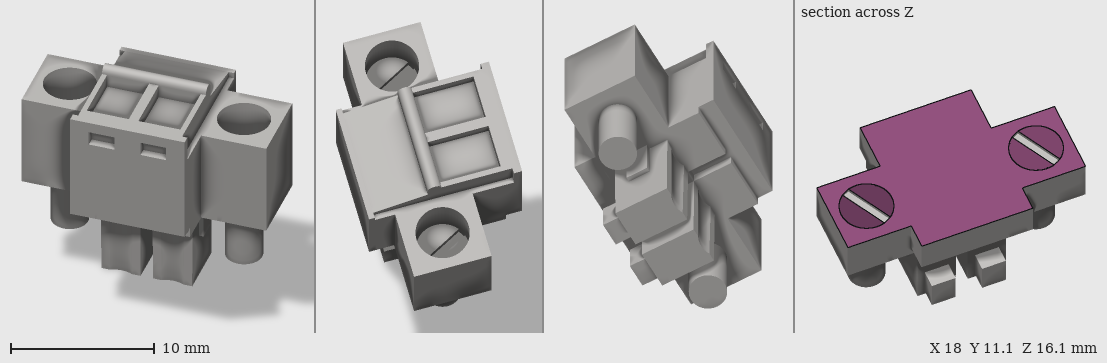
import cadquery as cq

OVERLAP = 0.18

pole_count = 2
pole_pitch = 3.8
pole_xs = [(i - (pole_count - 1) / 2) * pole_pitch for i in range(pole_count)]

body_width = 8.43
body_front = -6.4
body_back = 4.7
base_front = -5.22
base_height = 0.83
ledge_z = 7.1
lid_width = 7.65
front_wall = 0.6
back_wall = 0.41
back_wall_top = 7.55

ridge_top = 9.51
ridge_width = 0.99
ridge_y = -0.16
ridge_radius = ridge_width / 2
lid_top = ridge_top - ridge_radius
slope_top = 8.27

pocket_width = 3.1
pocket_front = -5.06
pocket_back = ridge_y - ridge_radius
pocket_depth = 1.0
window_width = 1.9
window_bottom = 7.15
window_top = 8.21
window_depth = 0.63

total_width = 18.01
flange_depth = 5.62
base_back = flange_depth / 2

finger_top_width = 2.95
finger_tip_width = 2.88
finger_back = 1.93
finger_top_front = -2.25
finger_tip_front = -2.2
finger_length = 6.6
groove_radius = 1.71
groove_depth = 0.25
slot_width = pole_pitch - finger_top_width
rib_x = 3.71
rib_depth = 1.65
rib_length = 3.15
key_width = 1.8
key_back = 3.2
key_top = -4.07
key_bottom = -6.32

screw_x = 6.41
shank_diameter = 2.68
shank_end = -4.5
head_diameter = 3.78
head_bottom = 1.8
head_top = 3.6
drive_width = 0.63
drive_depth = 0.54
drive_angle = -62.0


def block(x0, x1, y0, y1, z0, z1):
    """Box between two opposite corners."""
    return cq.Workplane("XY").box(x1 - x0, y1 - y0, z1 - z0, centered=False).translate((x0, y0, z0))


def cylinder(diameter, z0, z1):
    """Upright cylinder on the Z axis."""
    return cq.Workplane("XY", origin=(0, 0, z0)).circle(diameter / 2).extrude(z1 - z0)


def side_prism(outline, width):
    """Closed outline in the YZ plane, extruded evenly to both sides of X = 0."""
    return outline.close().extrude(width / 2, both=True)


def make_shell():
    """Main block with its raised front and back walls."""
    outline = (
        cq.Workplane("YZ")
        .moveTo(base_front, 0)
        .lineTo(base_back, 0)
        .lineTo(base_back, base_height)
        .lineTo(body_back, base_height)
        .lineTo(body_back, back_wall_top)
        .lineTo(body_back - back_wall, back_wall_top)
        .lineTo(body_back - back_wall, ledge_z)
        .lineTo(body_front + front_wall, ledge_z)
        .lineTo(body_front + front_wall, lid_top)
        .lineTo(body_front, lid_top)
        .lineTo(body_front, base_height)
        .lineTo(base_front, base_height)
    )
    return side_prism(outline, body_width)


def make_lid():
    """Narrower raised top: flat front, rounded ridge and sloping rear."""
    lid_front = body_front + front_wall
    lid_back = body_back - back_wall
    outline = (
        cq.Workplane("YZ")
        .moveTo(lid_front, ledge_z - OVERLAP)
        .lineTo(lid_front, lid_top)
        .lineTo(ridge_y - ridge_radius, lid_top)
        .threePointArc((ridge_y, ridge_top), (ridge_y + ridge_radius, lid_top))
        .lineTo(ridge_y + ridge_radius, slope_top)
        .lineTo(lid_back, back_wall_top)
        .lineTo(lid_back, ledge_z - OVERLAP)
    )
    return side_prism(outline, lid_width)


def make_flanges():
    """Blocks at both ends that hold the screws, joined under the lid."""
    return block(-total_width / 2, total_width / 2, -flange_depth / 2, flange_depth / 2, 0, ledge_z)


def make_finger(x):
    """Tapered finger of one pole, with a round groove in front and a key at the back of the tip."""
    top_depth = finger_back - finger_top_front
    tip_depth = finger_back - finger_tip_front
    finger = (
        cq.Workplane("XY")
        .center(0, finger_back - top_depth / 2)
        .rect(finger_top_width, top_depth)
        .workplane(offset=-finger_length)
        .center(0, (top_depth - tip_depth) / 2)
        .rect(finger_tip_width, tip_depth)
        .loft(ruled=True)
    )
    groove_y = finger_top_front + groove_depth - groove_radius
    groove = cylinder(2 * groove_radius, -finger_length - OVERLAP, 0).translate((0, groove_y, 0))
    key = block(-key_width / 2, key_width / 2, finger_back - OVERLAP, key_back, key_bottom, key_top)
    return finger.cut(groove).union(key).translate((x, 0, 0))


def make_rib(side):
    """Rib on the outer side of an end finger; side is -1 or 1."""
    inner_x = pole_xs[-1]
    rib = block(inner_x, rib_x, -rib_depth / 2, rib_depth / 2, -rib_length, 0)
    return rib if side > 0 else rib.mirror("YZ")


def make_openings(x):
    """Top pocket and front window of one pole."""
    pocket = block(
        x - pocket_width / 2, x + pocket_width / 2,
        pocket_front, pocket_back,
        lid_top - pocket_depth, lid_top,
    )
    window = block(
        x - window_width / 2, x + window_width / 2,
        body_front - OVERLAP, body_front + window_depth,
        window_bottom, window_top,
    )
    return pocket.union(window)


def make_screw_hole(x):
    """Through hole for the shank and a counterbore for the head, open at the flange top."""
    bore = cylinder(shank_diameter, 0, ledge_z)
    counterbore = cylinder(head_diameter, head_bottom, ledge_z)
    return bore.union(counterbore).translate((x, 0, 0))


def make_housing():
    """One-piece connector housing with its screw flanges and plug fingers."""
    housing = make_shell().union(make_lid()).union(make_flanges())
    base_slot = block(
        -slot_width / 2, slot_width / 2,
        base_front - OVERLAP, finger_top_front,
        -OVERLAP, base_height,
    )
    housing = housing.cut(base_slot)
    for x in pole_xs:
        housing = housing.union(make_finger(x)).cut(make_openings(x))
    for side in (-1, 1):
        housing = housing.union(make_rib(side)).cut(make_screw_hole(side * screw_x))
    return housing


def make_screw(x):
    """Slotted screw with a cylindrical head, sunk in its flange."""
    shank = cylinder(shank_diameter, shank_end, head_bottom)
    head = cylinder(head_diameter, head_bottom, head_top)
    drive_slot = (
        cq.Workplane("XY", origin=(0, 0, head_top))
        .rect(head_diameter + OVERLAP, drive_width)
        .extrude(-drive_depth)
        .rotate((0, 0, 0), (0, 0, 1), drive_angle)
    )
    return shank.union(head).cut(drive_slot).translate((x, 0, 0))


housing = make_housing()
screws = [make_screw(side * screw_x) for side in (-1, 1)]

result = cq.Compound.makeCompound([housing.val(), *[screw.val() for screw in screws]])